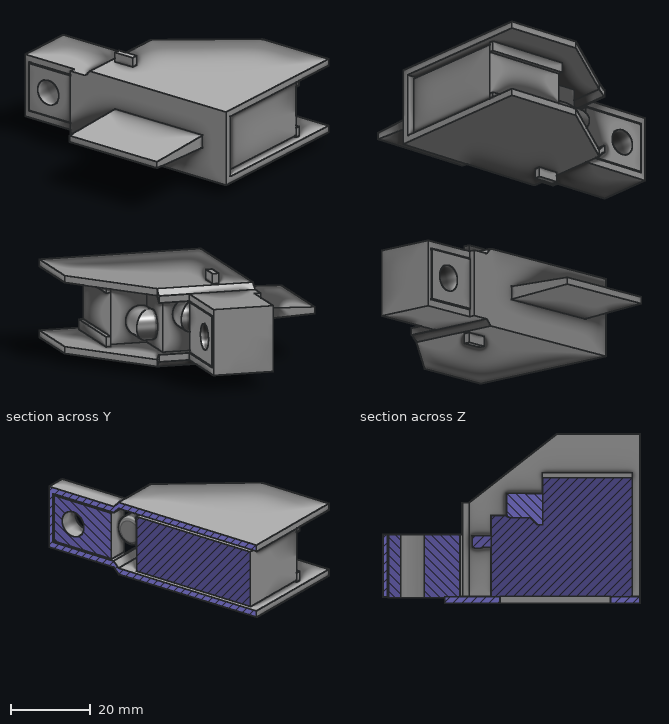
import cadquery as cq


LENGTH = 64.75
DEPTH = 42.7
HALF_HEIGHT = 10.05
WALL = 1.8
NECK_HALF_HEIGHT = 8.5
NECK_END_X = 20.15
LIP_X = 19.8
BEVEL_START_Y = 25.4
BEVEL_END_X = 43.8

BOX_FRONT_Y = 1.6
BOX_BACK_Y = 17.4
BOX_STEP_X = 15.55
END_WALL = 1.15

TAB_START_X = 23.05
TAB_LENGTH = 5.65
TAB_START_Y = 8.6
TAB_WIDTH = 1.7
TAB_SPAN = 25.2

BLOCK_CLEARANCE = 0.25
BLOCK_PROUD = 0.2
BLOCK_END_X = 19.4
WIRE_HOLE_DIAMETER = 6.7
WIRE_HOLE_X = 7.45

CARRIER_HALF_HEIGHT = 7.65
CARRIER_STEP_X = 27.2
CARRIER_FACE_X = 40.15
CARRIER_END_X = 62.8
CARRIER_STEP_Y = 22.15
CARRIER_BACK_Y = 31.65

TONGUE_START_X = 29.5
TONGUE_WIDTH = 27.7
TONGUE_LENGTH = 18.85
TONGUE_ROOT_THICKNESS = 3.3
TONGUE_TIP_THICKNESS = 1.75
SLOT_CLEARANCE = 0.1

RIB_THICKNESS = 1.2
RIB_HEIGHT = 2.6

PIN_DIAMETER = 7.85
PIN_RADIUS = PIN_DIAMETER / 2
PIN_STUB = 2.15
PIN_END_FILLET = 1.05
PIN_CORNERS = [
    (34.95, 23.8, -1.95, CARRIER_FACE_X),
    (23.9, 15.6, 1.95, CARRIER_STEP_X),
]


def box(x, y, z):
    """Box from its (low, high) limits along each axis."""
    size = [high - low for low, high in (x, y, z)]
    return cq.Workplane("XY").box(*size, centered=False).translate((x[0], y[0], z[0]))


def flare_band(start_x, neck_z, full_z, flare_x, y):
    """Symmetric band along X that widens from neck_z to full_z with a 45 degree flare."""
    flare_end_x = flare_x + full_z - neck_z
    upper = [(start_x, neck_z), (flare_x, neck_z), (flare_end_x, full_z), (LENGTH, full_z)]
    lower = [(px, -pz) for px, pz in reversed(upper)]
    outline = cq.Workplane("XZ").polyline(upper + lower).close()
    return outline.extrude(-(y[1] - y[0])).translate((0, y[0], 0))


def make_shell():
    outside = flare_band(0, NECK_HALF_HEIGHT, HALF_HEIGHT, NECK_END_X, (0, DEPTH))
    inside = flare_band(
        END_WALL, NECK_HALF_HEIGHT - WALL, HALF_HEIGHT - WALL, NECK_END_X, (WALL, DEPTH)
    )
    flare_end_x = NECK_END_X + HALF_HEIGHT - NECK_HALF_HEIGHT
    plan = (
        cq.Workplane("XY", origin=(0, 0, -HALF_HEIGHT))
        .polyline([
            (0, BOX_FRONT_Y),
            (BOX_STEP_X, BOX_FRONT_Y),
            (BOX_STEP_X, 0),
            (LENGTH, 0),
            (LENGTH, DEPTH),
            (BEVEL_END_X, DEPTH),
            (flare_end_x, BEVEL_START_Y),
            (LIP_X, BEVEL_START_Y),
            (LIP_X, BOX_BACK_Y),
            (0, BOX_BACK_Y),
        ])
        .close()
        .extrude(2 * HALF_HEIGHT)
    )
    opening_z = NECK_HALF_HEIGHT - WALL
    front_opening = box((END_WALL, BOX_STEP_X), (0, WALL), (-opening_z, opening_z))
    return outside.cut(inside).intersect(plan).cut(front_opening)


def make_housing():
    slot_half_height = TONGUE_ROOT_THICKNESS / 2 + SLOT_CLEARANCE
    slot_x = (TONGUE_START_X, TONGUE_START_X + TONGUE_WIDTH)
    slot = box(slot_x, (0, WALL), (-slot_half_height, slot_half_height))
    housing = make_shell().cut(slot)
    inner_z = HALF_HEIGHT - WALL
    tab_x = (TAB_START_X, TAB_START_X + TAB_LENGTH)
    tab_y = (TAB_START_Y, TAB_START_Y + TAB_WIDTH)
    rib_x = (CARRIER_FACE_X, CARRIER_END_X)
    rib_y = (CARRIER_BACK_Y, CARRIER_BACK_Y + RIB_THICKNESS)
    tab = box(tab_x, tab_y, (inner_z, TAB_SPAN / 2))
    rib = box(rib_x, rib_y, (inner_z - RIB_HEIGHT, HALF_HEIGHT))
    for feature in (tab, rib):
        housing = housing.union(feature).union(feature.mirror("XY"))
    return housing


def make_terminal_block():
    half_height = NECK_HALF_HEIGHT - WALL - BLOCK_CLEARANCE
    front_y = BOX_FRONT_Y - BLOCK_PROUD
    wire_hole = (
        cq.Workplane("XZ", origin=(WIRE_HOLE_X, front_y, 0))
        .circle(WIRE_HOLE_DIAMETER / 2)
        .extrude(front_y - BOX_BACK_Y)
    )
    left_of_wall = box(
        (END_WALL + BLOCK_CLEARANCE, BOX_STEP_X), (front_y, BOX_BACK_Y), (-half_height, half_height)
    )
    behind_wall = box((BOX_STEP_X, BLOCK_END_X), (WALL, BOX_BACK_Y), (-half_height, half_height))
    return left_of_wall.union(behind_wall).cut(wire_hole)


def make_pin(corner_x, corner_y, z, foot_x):
    """Mitred elbow: one leg runs along +X to its foot, the other is a rounded stub along -Y."""
    leg = (
        cq.Workplane("YZ", origin=(-PIN_RADIUS, 0, 0))
        .circle(PIN_RADIUS)
        .extrude(PIN_RADIUS + foot_x - corner_x)
    )
    stub = (
        cq.Workplane("XZ", origin=(0, PIN_RADIUS, 0))
        .circle(PIN_RADIUS)
        .extrude(PIN_RADIUS + PIN_STUB)
        .faces("<Y")
        .edges()
        .fillet(PIN_END_FILLET)
    )
    reach = 4 * PIN_RADIUS
    leg_side = (
        cq.Workplane("XY", origin=(0, 0, -PIN_RADIUS))
        .polyline([(-reach, reach), (reach, reach), (reach, -reach)])
        .close()
        .extrude(2 * PIN_RADIUS)
    )
    pin = leg.intersect(leg_side).union(stub.cut(leg_side))
    return pin.translate((corner_x, corner_y, z))


def make_tongue():
    """Straight shank through the front wall, then a taper to the tip."""
    root = TONGUE_ROOT_THICKNESS / 2
    tip = TONGUE_TIP_THICKNESS / 2
    upper = [(WALL, root), (0, root), (-TONGUE_LENGTH, tip)]
    lower = [(y, -z) for y, z in reversed(upper)]
    return (
        cq.Workplane("YZ", origin=(TONGUE_START_X, 0, 0))
        .polyline(upper + lower)
        .close()
        .extrude(TONGUE_WIDTH)
    )


def make_carrier(pins):
    """Stepped block with the tongue on its front and a seat for each pin."""
    z = (-CARRIER_HALF_HEIGHT, CARRIER_HALF_HEIGHT)
    step = box((CARRIER_STEP_X, CARRIER_FACE_X), (WALL, CARRIER_STEP_Y), z)
    tall = box((CARRIER_FACE_X, CARRIER_END_X), (WALL, CARRIER_BACK_Y), z)
    carrier = step.union(tall).union(make_tongue())
    for pin in pins:
        carrier = carrier.cut(pin)
    return carrier


housing = make_housing()
terminal_block = make_terminal_block()
pins = [make_pin(*corner) for corner in PIN_CORNERS]
carrier = make_carrier(pins)

result = cq.Compound.makeCompound([
    housing.val(),
    terminal_block.val(),
    carrier.val(),
    *[pin.val() for pin in pins],
])